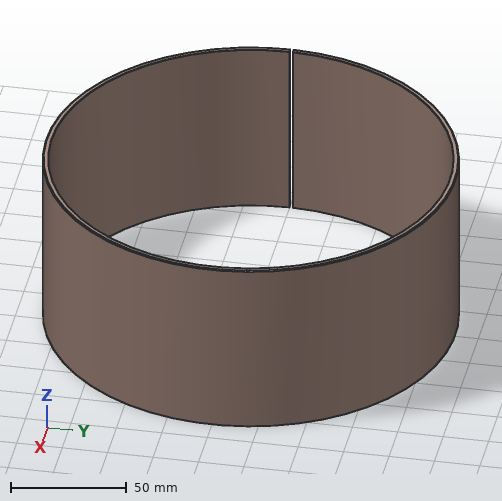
import cadquery as cq

outer_diameter = 180.0
wall = 2.5
height = 80.0

outer_chamfer = 0.5
inner_chamfer = 0.2

slit_angle = 1.0

outer_radius = outer_diameter / 2
inner_radius = outer_radius - wall


def make_wall_section():
    """Wall cross-section on the -X side, with all four corners chamfered."""
    return (
        cq.Workplane("XZ")
        .moveTo(-inner_radius - inner_chamfer, 0)
        .lineTo(-outer_radius + outer_chamfer, 0)
        .lineTo(-outer_radius, outer_chamfer)
        .lineTo(-outer_radius, height - outer_chamfer)
        .lineTo(-outer_radius + outer_chamfer, height)
        .lineTo(-inner_radius - inner_chamfer, height)
        .lineTo(-inner_radius, height - inner_chamfer)
        .lineTo(-inner_radius, inner_chamfer)
        .close()
    )


def make_split_ring():
    """Wall section swept counter-clockwise about Z, stopping short of a full turn by the slit."""
    axis_start = (0, 0, 0)
    axis_end = (0, 1, 0)
    return make_wall_section().revolve(360 - slit_angle, axis_start, axis_end)


result = make_split_ring()